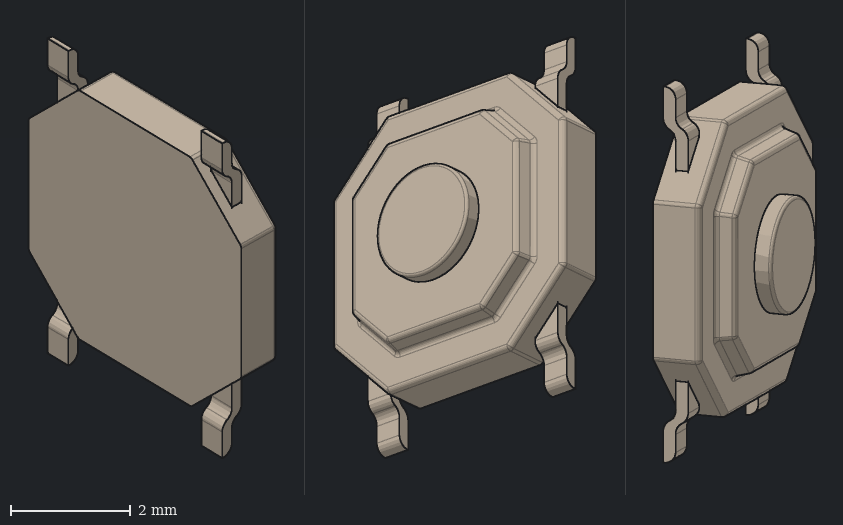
import cadquery as cq
import math

HOUSING_WIDTH = 5.1
LEG_SPAN = 6.45
TOTAL_HEIGHT = 1.5

BASE_HEIGHT = 0.85
BOSS_TOP = 1.2
CORNER_CUT = 1.2
HALF_CORNER_TURN = 22.5
BOSS_MARGIN = 0.645
BOSS_TAPER = 15.0
EDGE_RADIUS = 0.095
POSITION_TOLERANCE = 0.0005

BUTTON_DIAMETER = 2.0
BUTTON_EDGE_RADIUS = 0.05

LEG_WIDTH = 0.5
LEG_CENTER_X = 1.845
LEG_THICKNESS = 0.225
FOOT_TIP_RADIUS = 0.2
BEND_START_Z = 2.3
BEND_LENGTH = 0.38
UPPER_BEND_SHIFT = 0.03
LEG_INNER_END_Z = 1.55


def octagon_prism(half_width, corner_cut, height, taper=0.0):
    """Octagonal block standing on Y = 0, rising to +Y, with rounded upright edges."""
    flat_end = half_width - corner_cut
    outline = [
        (half_width, flat_end),
        (flat_end, half_width),
        (-flat_end, half_width),
        (-half_width, flat_end),
        (-half_width, -flat_end),
        (-flat_end, -half_width),
        (flat_end, -half_width),
        (half_width, -flat_end),
    ]
    block = cq.Workplane("XZ").polyline(outline).close().extrude(-height, taper=taper)
    upright_edges = block.edges("not(<Y or >Y)")
    return upright_edges.fillet(EDGE_RADIUS)


def edges_at_height(body, height, half_size):
    """Edges lying at one height, inside a square of the given half size."""
    return body.edges(
        cq.selectors.BoxSelector(
            (-half_size, height - POSITION_TOLERANCE, -half_size),
            (half_size, height + POSITION_TOLERANCE, half_size),
            boundingbox=True,
        )
    )


def make_housing():
    half_width = HOUSING_WIDTH / 2
    boss_half_width = half_width - BOSS_MARGIN
    boss_corner_cut = CORNER_CUT - BOSS_MARGIN * (1 - math.tan(math.radians(HALF_CORNER_TURN)))

    base = octagon_prism(half_width, CORNER_CUT, BASE_HEIGHT)
    base = base.faces(">Y").edges().fillet(EDGE_RADIUS)

    boss_height = BOSS_TOP - BASE_HEIGHT
    boss = octagon_prism(boss_half_width, boss_corner_cut, boss_height, BOSS_TAPER)
    boss = boss.faces(">Y").edges().fillet(EDGE_RADIUS)

    housing = base.union(boss.translate((0, BASE_HEIGHT, 0)))
    foot_of_boss = edges_at_height(housing, BASE_HEIGHT, boss_half_width + POSITION_TOLERANCE)
    return foot_of_boss.fillet(EDGE_RADIUS)


def make_button():
    height = TOTAL_HEIGHT - BOSS_TOP
    button = cq.Workplane("XZ", origin=(0, BOSS_TOP, 0)).circle(BUTTON_DIAMETER / 2).extrude(-height)
    return button.faces(">Y").edges().fillet(BUTTON_EDGE_RADIUS)


def make_leg(side_x):
    """One leg at the +Z end, centred on X = side_x. Its bend rises by one leg thickness."""
    tip_z = LEG_SPAN / 2
    run_top = 2 * LEG_THICKNESS
    lower_inner_z = BEND_START_Z
    lower_outer_z = BEND_START_Z + BEND_LENGTH
    upper_inner_z = lower_inner_z + UPPER_BEND_SHIFT
    upper_outer_z = lower_outer_z + UPPER_BEND_SHIFT
    lower_middle = (LEG_THICKNESS / 2, (lower_inner_z + lower_outer_z) / 2)
    upper_middle = ((LEG_THICKNESS + run_top) / 2, (upper_inner_z + upper_outer_z) / 2)

    profile = (
        cq.Workplane("YZ", origin=(side_x - LEG_WIDTH / 2, 0, 0))
        .moveTo(LEG_THICKNESS, LEG_INNER_END_Z)
        .lineTo(LEG_THICKNESS, lower_inner_z)
        .tangentArcPoint(lower_middle, relative=False)
        .tangentArcPoint((0, lower_outer_z), relative=False)
        .lineTo(0, tip_z)
        .lineTo(LEG_THICKNESS - FOOT_TIP_RADIUS, tip_z)
        .radiusArc((LEG_THICKNESS, tip_z - FOOT_TIP_RADIUS), FOOT_TIP_RADIUS)
        .lineTo(LEG_THICKNESS, upper_outer_z)
        .tangentArcPoint(upper_middle, relative=False)
        .tangentArcPoint((run_top, upper_inner_z), relative=False)
        .lineTo(run_top, LEG_INNER_END_Z)
        .close()
    )
    return profile.extrude(LEG_WIDTH)


def make_legs():
    legs = []
    for side_x in (-LEG_CENTER_X, LEG_CENTER_X):
        leg = make_leg(side_x)
        legs.append(leg)
        legs.append(leg.mirror("XY"))
    return legs


legs = make_legs()
button = make_button()
housing = make_housing()

for leg in legs:
    housing = housing.cut(leg)

result = cq.Compound.makeCompound([housing.val(), button.val(), *[leg.val() for leg in legs]])